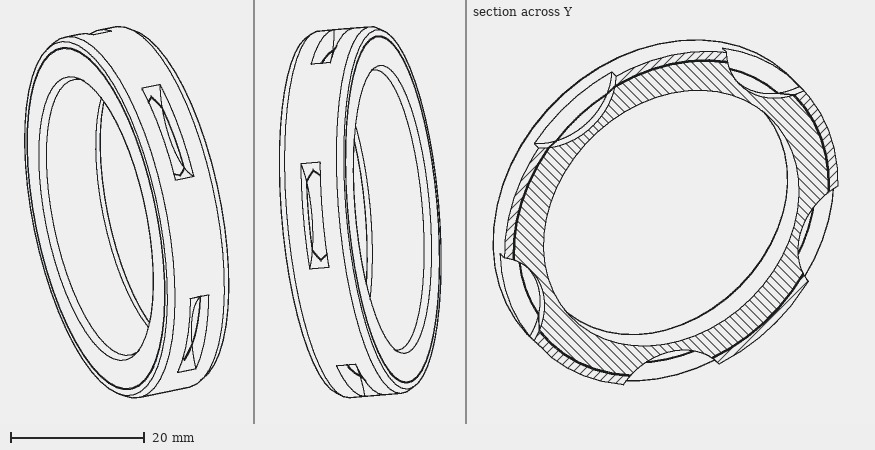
import cadquery as cq
import math

outer_radius = 27.5
bore_radius = 21.0
width = 10.0
half_width = width / 2

chamfer_length = 1.0
chamfer_angle = 30.0
chamfer_depth = chamfer_length * math.tan(math.radians(chamfer_angle))

gap = 0.15
crest_radius = 25.95
valley_radius = crest_radius - half_width / 2

slot_count = 5
first_slot_angle = 54.0
slot_width = 2.95
slot_disc_radius = 10.0
slot_disc_offset = 32.5


def labyrinth_points(offset):
    """Zigzag of (y, radius) points from front face to back face, shifted radially by offset."""
    crest = crest_radius + offset
    valley = valley_radius + offset
    return [
        (-half_width, crest),
        (-half_width / 2, valley),
        (0, crest),
        (half_width / 2, valley),
        (half_width, crest),
    ]


def chamfered_edge_points(edge_radius, chamfered_radius):
    """Straight side at edge_radius, sloping to chamfered_radius at the back and front faces."""
    return [
        (half_width, chamfered_radius),
        (half_width - chamfer_length, edge_radius),
        (-half_width + chamfer_length, edge_radius),
        (-half_width, chamfered_radius),
    ]


def revolve_about_y(points):
    """Turn a closed (y, radius) outline around the Y axis."""
    return cq.Workplane("YZ").polyline(points).close().revolve(360, (0, 0, 0), (1, 0, 0))


def slot_cutters():
    """Discs spaced evenly around the rim."""
    cutters = cq.Workplane("XZ")
    cutters = cutters.polarArray(slot_disc_offset, first_slot_angle, 360, slot_count)
    return cutters.circle(slot_disc_radius).extrude(slot_width / 2, both=True)


def make_outer_ring():
    rim = chamfered_edge_points(outer_radius, outer_radius - chamfer_depth)
    outline = labyrinth_points(gap / 2) + rim
    return revolve_about_y(outline).cut(slot_cutters())


def make_inner_ring():
    bore = chamfered_edge_points(bore_radius, bore_radius + chamfer_depth)
    outline = labyrinth_points(-gap / 2) + bore
    return revolve_about_y(outline).cut(slot_cutters())


outer_ring = make_outer_ring()
inner_ring = make_inner_ring()

result = cq.Compound.makeCompound([outer_ring.solids().val(), inner_ring.solids().val()])